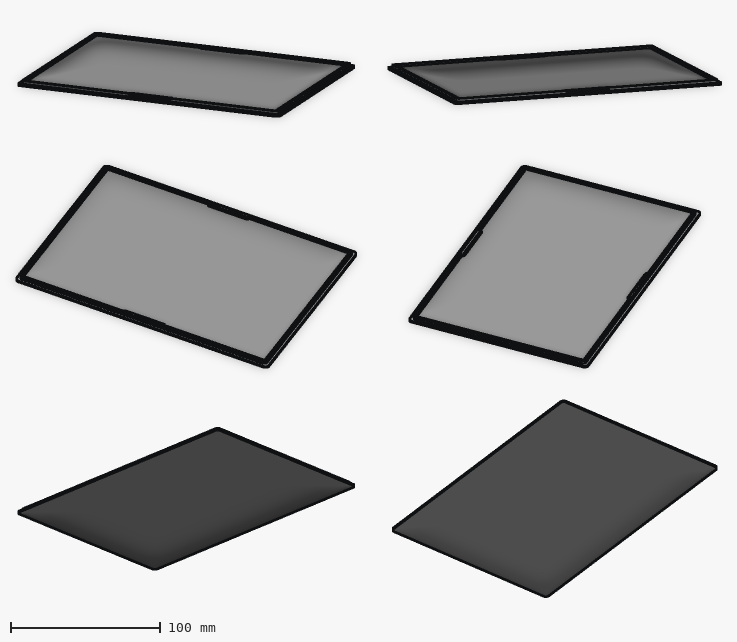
import cadquery as cq

length = 190.0
width = 130.0
height = 3.0

plate_thickness = 1.0
plate_corner_radius = 2.5

rim_inset = 2.4
rim_wall = 1.4
rim_corner_radius = 1.5
floor_z = 1.5

snap_tip_length = 28.0
snap_tip_z = (plate_thickness + height) / 2
groove_depth = 1.0
ridge_reach = 1.9

rim_length = length - 2 * rim_inset
rim_width = width - 2 * rim_inset
inner_length = rim_length - 2 * rim_wall
inner_width = rim_width - 2 * rim_wall


def rounded_block(size_x, size_y, bottom, top, corner_radius):
    """Upright block centred on Z with rounded vertical edges."""
    block = cq.Workplane("XY", origin=(0, 0, bottom)).rect(size_x, size_y).extrude(top - bottom)
    return block.edges("|Z").fillet(corner_radius)


def tray():
    """Plate with an upright rim and a slightly raised floor inside the rim."""
    plate = rounded_block(length, width, 0, plate_thickness, plate_corner_radius)
    rim = rounded_block(rim_length, rim_width, plate_thickness, height, rim_corner_radius)
    recess = cq.Workplane("XY", origin=(0, 0, floor_z)).rect(inner_length, inner_width)
    return plate.union(rim).cut(recess.extrude(height - floor_z))


def snap_wedge(base_y, depth):
    """Wedge from the plane y = base_y to a tip line at y = base_y - depth.

    Its flanks and ends slope at 45 degrees, and it is trimmed to the height of the rim.
    """
    tip_y = base_y - depth
    half_tip = snap_tip_length / 2
    half_base = half_tip + depth
    profile = [(base_y, snap_tip_z - depth), (base_y, snap_tip_z + depth), (tip_y, snap_tip_z)]
    flanks = cq.Workplane("YZ").polyline(profile).close().extrude(half_base, both=True)
    outline = [(-half_base, base_y), (half_base, base_y), (half_tip, tip_y), (-half_tip, tip_y)]
    ends = cq.Workplane("XY", origin=(0, 0, plate_thickness)).polyline(outline).close()
    return flanks.intersect(ends.extrude(height - plate_thickness))


def on_both_sides(feature):
    """The feature together with its mirror image on the opposite long side."""
    return feature.union(feature.mirror("XZ"))


ridges = on_both_sides(snap_wedge(inner_width / 2, ridge_reach))
grooves = on_both_sides(snap_wedge(rim_width / 2, groove_depth))
result = tray().union(ridges).cut(grooves)